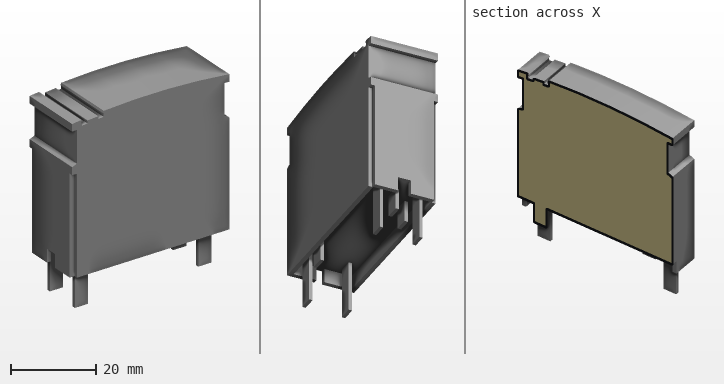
import cadquery as cq
import math

width = 17.5
depth = 44.8
crown_height = 42.2
half_width = width / 2
half_depth = depth / 2

crown_edge_height = 40.9
crown_rise = crown_height - crown_edge_height
crown_radius = (half_depth**2 + crown_rise**2) / (2 * crown_rise)

recess_depth = 1.35
lip_underside = 38.97
lip_tip_drop = 0.1
ledge_outer_height = 29.5
ledge_inner_height = 30.05

groove_1_back = -13.4
beak_1_overhang = 0.27
land_back = -14.95
land_front = -18.0
groove_2_front = -19.6
beak_2_tip = -19.35
lip_top_start = -19.75
beak_drop = 0.5
land_drop = 0.83
groove_drop = 1.58

rebate_width = 1.0
rebate_depth = recess_depth
rebate_height = 27.4

wall = 1.2
cavity_height = 3.65
notch_half_width = 1.65
rear_notch_right = 0.4

pin_thickness = 0.9
pin_breadth = 3.7
long_pin_length = 9.5
short_pin_length = 1.9
long_pin_y = 17.9
short_pin_y = 11.9
offset_pin_y = 15.95
side_pin_x = 5.15
centre_pin_x = 0.4


def crown_z(y):
    """Height of the crowned top at position y."""
    return crown_height - crown_radius + math.sqrt(crown_radius**2 - y**2)


def top_point(y, drop=0.0):
    """Point in the YZ plane a given drop below the crown."""
    return (y, crown_z(y) - drop)


def make_housing():
    """Side profile, extruded across the full width."""
    recess_y = half_depth - recess_depth
    crown_middle_y = (half_depth + groove_1_back) / 2
    profile = (
        cq.Workplane("YZ", origin=(-half_width, 0, 0))
        .moveTo(-half_depth, 0)
        .lineTo(half_depth, 0)
        .lineTo(half_depth, ledge_outer_height)
        .lineTo(recess_y, ledge_inner_height)
        .lineTo(recess_y, lip_underside)
        .lineTo(half_depth, lip_underside - lip_tip_drop)
        .lineTo(half_depth, crown_edge_height)
        .threePointArc(top_point(crown_middle_y), top_point(groove_1_back))
        .lineTo(*top_point(groove_1_back - beak_1_overhang, beak_drop))
        .lineTo(*top_point(groove_1_back, beak_drop))
        .lineTo(*top_point(groove_1_back, groove_drop))
        .lineTo(*top_point(land_back, groove_drop))
        .lineTo(*top_point(land_back, land_drop))
        .lineTo(*top_point(land_front, land_drop))
        .lineTo(*top_point(land_front, groove_drop))
        .lineTo(*top_point(groove_2_front, groove_drop))
        .lineTo(*top_point(lip_top_start, beak_drop))
        .lineTo(*top_point(beak_2_tip, beak_drop))
        .lineTo(*top_point(lip_top_start))
        .lineTo(-half_depth, crown_edge_height)
        .lineTo(-half_depth, lip_underside - lip_tip_drop)
        .lineTo(-recess_y, lip_underside)
        .lineTo(-recess_y, ledge_inner_height)
        .lineTo(-half_depth, ledge_outer_height)
        .close()
    )
    return profile.extrude(width)


def block(x_min, x_max, y_min, y_max, z_min, z_max):
    """Axis-aligned box given by its limits."""
    return cq.Workplane("XY").box(
        x_max - x_min, y_max - y_min, z_max - z_min, centered=False
    ).translate((x_min, y_min, z_min))


def cut_corner_rebates(body):
    """Remove a vertical strip from each front corner."""
    for x_min in (-half_width, half_width - rebate_width):
        rebate = block(
            x_min, x_min + rebate_width,
            -half_depth, -half_depth + rebate_depth,
            0, rebate_height,
        )
        body = body.cut(rebate)
    return body


def cut_underside(body):
    """Hollow the underside and notch the front and rear walls."""
    inner_x = half_width - wall
    inner_y = half_depth - wall
    cavity = block(-inner_x, inner_x, -inner_y, inner_y, 0, cavity_height)
    front_notch = block(
        -notch_half_width, notch_half_width,
        -half_depth, -inner_y, 0, cavity_height,
    )
    rear_notch = block(
        -notch_half_width, rear_notch_right,
        inner_y, half_depth, 0, cavity_height,
    )
    return body.cut(cavity).cut(front_notch).cut(rear_notch)


def make_pin(x, y, length):
    """Flat pin centred on (x, y), rooted in the cavity ceiling."""
    return block(
        x - pin_thickness / 2, x + pin_thickness / 2,
        y - pin_breadth / 2, y + pin_breadth / 2,
        -length, cavity_height,
    )


def add_pins(body):
    """Four long corner pins and three short pins."""
    for side in (-side_pin_x, side_pin_x):
        rear_x = side - pin_thickness / 2
        front_x = side + pin_thickness / 2
        body = body.union(make_pin(rear_x, long_pin_y, long_pin_length))
        body = body.union(make_pin(front_x, -long_pin_y, long_pin_length))
    left_x = -side_pin_x - pin_thickness / 2
    right_x = side_pin_x - pin_thickness / 2
    body = body.union(make_pin(left_x, short_pin_y, short_pin_length))
    body = body.union(make_pin(right_x, -short_pin_y, short_pin_length))
    body = body.union(make_pin(centre_pin_x, -offset_pin_y, short_pin_length))
    return body


result = add_pins(cut_underside(cut_corner_rebates(make_housing())))